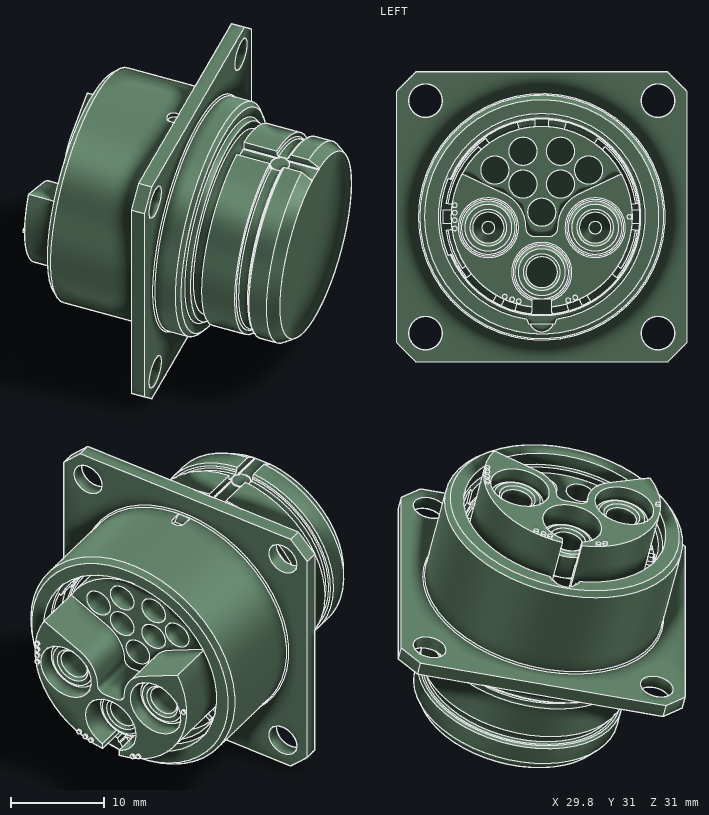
import cadquery as cq
import math


flange_side = 31.0
flange_thickness = 1.5
flange_corner_chamfer = 2.1
mount_hole_diameter = 3.55
mount_hole_pitch = 24.8

shell_radius = 13.0
shell_front_x = -10.85
shell_edge_radius = 12.5
front_chamfer_length = 0.57
root_radius = 13.15
root_length = 0.2
shoulder_x = 4.5
shoulder_chamfer_length = 0.45

collar_front_radius = 11.4
collar_rear_radius = 11.1
collar_end_x = 5.03
neck_radius = 10.26
barrel_radius = 11.18
barrel_front_x = 6.34
barrel_end_x = 15.0
barrel_end_radius = 10.37
end_chamfer_length = 1.22
groove_front_x = 10.12
groove_rear_x = 11.54
groove_radius = 10.5
groove_corner = 0.2
groove_lip_radius = 10.94
groove_lip_length = 0.23

keyway_half_width = 1.04
keyway_floor_z = 10.2
key_half_width = 0.87
key_top_z = 10.3
key_root_z = 5.0
boss_radius = 1.02
boss_x = 10.9
boss_top_z = 10.42

mark_half_width = 0.72
mark_front_x = -2.0
mark_ramp_x = -1.0
mark_rear_x = -0.25
mark_depth = 0.6
mark_end_radius = 0.65

mouth_radius = 11.03
mouth_depth = 1.5
bore_radius = 10.55
gap_floor_x = -7.6
relief_radius = 10.8
relief_half_angle = 22.4
shell_key_radius = 1.3
shell_key_z = -10.97
shell_key_depth = 1.2
shell_key_flat_z = -11.4
shell_key_flat_half_width = 1.4
shell_key_top_half_width = 1.75

hidden_overlap = 0.4

insert_radius = 9.66
insert_front_x = -14.6
insert_rear_x = -4.0
recess_floor_x = -9.3
recess_slope_angle = 25.2
recess_half_width = 1.7
lobe_radius = 4.0
recess_corner_radius = 0.95
signal_hole_radius = 1.5
signal_hole_depth = 8.0
signal_holes = [(2, 7), (-2, 7), (5, 5), (-5, 5), (2, 3.5), (-2, 3.5), (0, 0.5)]

power_y = recess_half_width + lobe_radius
power_z = -1.15
earth_z = -5.9
power_contact_setback = 1.3
earth_contact_setback = 2.2
socket_radius = 3.2
socket_inner_radius = 3.03
socket_step = 1.0
socket_inner_depth = 2.0
contact_radius = 2.85
contact_face_radius = 2.5
contact_chamfer_length = 0.2
contact_entry_radius = 1.95
contact_hole_radius = 1.66
contact_entry_length = 0.3
contact_hole_depth = 6.0
drill_tip_radius = 0.67
drill_tip_length = 0.6
earth_slot_width = 2.1
earth_slot_outer_radius = 10.5

lock_inner_radius = insert_radius - hidden_overlap
ramp_outer_radius = 10.1
ramp_length = 0.8
ramp_start_angle = 8.0
ramp_upper_angle = 48.0
ramp_lower_angle = 33.0
pocket_outer_radius = 10.3
pocket_depth = 0.5
pocket_upper_angle = 54.5
pocket_lower_angle = 39.0
pad_height = 0.5
pad_outer_radius = 10.4
clearance_inner_radius = 10.45
clearance_depth = 0.8
top_pad_half_angle = 14.5
notch_half_width = 0.72
bottom_pad_angles = [(6.0, 16.0), (24.5, 30.0)]

pip_radius = 0.25
pip_height = 0.2
pips = [
    (9.28, 1.24), (9.28, 0.45), (9.28, -0.34), (9.28, -1.24), (-9.35, 0),
    (3.96, -8.5), (3.17, -8.8), (2.45, -9.0), (-2.83, -8.9), (-3.57, -8.6),
]


def section(x):
    """Sketch plane across the axis: local x is Y, local y is Z, normal is +X."""
    return cq.Workplane("YZ", origin=(x, 0, 0))


def disc(x_start, x_end, radius, y=0.0, z=0.0):
    return section(x_start).center(y, z).circle(radius).extrude(x_end - x_start)


def block(x_start, x_end, y_start, y_end, z_start, z_end):
    size = (x_end - x_start, y_end - y_start, z_end - z_start)
    return cq.Workplane("XY").box(*size, centered=False).translate((x_start, y_start, z_start))


def revolve_about_axis(points):
    """Turn an (x, radius) outline about the connector axis."""
    return cq.Workplane("XY").polyline(points).close().revolve(360, (0, 0, 0), (1, 0, 0))


def polar(radius, angle):
    return (radius * math.cos(math.radians(angle)), radius * math.sin(math.radians(angle)))


def ring_sector(x_start, x_end, inner, outer, start_angle, end_angle):
    """Part of a ring; angles are counted from +Y towards +Z."""
    middle_angle = (start_angle + end_angle) / 2
    outline = (
        section(x_start)
        .moveTo(*polar(inner, start_angle))
        .lineTo(*polar(outer, start_angle))
        .threePointArc(polar(outer, middle_angle), polar(outer, end_angle))
        .lineTo(*polar(inner, end_angle))
        .threePointArc(polar(inner, middle_angle), polar(inner, start_angle))
        .close()
    )
    return outline.extrude(x_end - x_start)


def make_turned_body():
    return revolve_about_axis([
        (shell_front_x, 0),
        (shell_front_x, shell_edge_radius),
        (shell_front_x + front_chamfer_length, shell_radius),
        (-root_length, shell_radius),
        (0, root_radius),
        (flange_thickness, root_radius),
        (flange_thickness + root_length, shell_radius),
        (shoulder_x - shoulder_chamfer_length, shell_radius),
        (shoulder_x, shell_edge_radius),
        (shoulder_x, collar_front_radius),
        (collar_end_x, collar_rear_radius),
        (collar_end_x, neck_radius),
        (barrel_front_x, neck_radius),
        (barrel_front_x, barrel_radius),
        (groove_front_x, barrel_radius),
        (groove_front_x, groove_radius + groove_corner),
        (groove_front_x + groove_corner, groove_radius),
        (groove_rear_x - groove_corner, groove_radius),
        (groove_rear_x, groove_radius + groove_corner),
        (groove_rear_x, groove_lip_radius),
        (groove_rear_x + groove_lip_length, barrel_radius),
        (barrel_end_x - end_chamfer_length, barrel_radius),
        (barrel_end_x, barrel_end_radius),
        (barrel_end_x, 0),
    ])


def make_flange():
    plate = section(0).rect(flange_side, flange_side).extrude(flange_thickness)
    plate = plate.edges("|X").chamfer(flange_corner_chamfer)
    return (
        plate.faces("<X").workplane(origin=(0, 0, 0))
        .rect(mount_hole_pitch, mount_hole_pitch, forConstruction=True)
        .vertices().hole(mount_hole_diameter)
    )


def cut_barrel_keyway(body):
    keyway = block(barrel_front_x, barrel_end_x, -keyway_half_width, keyway_half_width,
                   keyway_floor_z, barrel_radius)
    key = block(barrel_front_x, barrel_end_x, -key_half_width, key_half_width, key_root_z, key_top_z)
    boss = (
        cq.Workplane("XY", origin=(boss_x, 0, key_root_z))
        .circle(boss_radius).extrude(boss_top_z - key_root_z)
    )
    return body.cut(keyway).union(key).union(boss)


def cut_index_mark(body):
    floor_z = shell_radius - mark_depth
    profile = (
        cq.Workplane("XZ", origin=(0, mark_half_width, 0))
        .polyline([
            (mark_front_x, floor_z),
            (mark_ramp_x, floor_z),
            (mark_rear_x, shell_radius),
            (mark_front_x, shell_radius),
        ])
        .close().extrude(2 * mark_half_width)
    )
    rounded = profile.edges("|Z and <X").fillet(mark_end_radius)
    return body.cut(rounded)


def cut_shell_mouth(body):
    mouth_floor_x = shell_front_x + mouth_depth
    body = body.cut(disc(shell_front_x, mouth_floor_x, mouth_radius))
    body = body.cut(disc(mouth_floor_x, gap_floor_x, bore_radius))
    body = body.cut(ring_sector(mouth_floor_x, gap_floor_x, lock_inner_radius, relief_radius,
                                -relief_half_angle, relief_half_angle))
    key_end_x = shell_front_x + shell_key_depth
    body = body.cut(disc(shell_front_x, key_end_x, shell_key_radius, 0, shell_key_z))
    key_flare = (
        section(shell_front_x)
        .polyline([
            (-shell_key_top_half_width, -bore_radius),
            (-shell_key_flat_half_width, shell_key_flat_z),
            (shell_key_flat_half_width, shell_key_flat_z),
            (shell_key_top_half_width, -bore_radius),
        ])
        .close().extrude(mouth_depth)
    )
    return body.cut(key_flare)


def make_recess():
    """Space above the two power lobes, as seen along the axis."""
    slope = math.radians(recess_slope_angle)
    tangent_y = power_y - lobe_radius * math.sin(slope)
    tangent_z = power_z + lobe_radius * math.cos(slope)
    edge_z = tangent_z + (bore_radius - tangent_y) * math.tan(slope)
    half_slope = (math.pi / 2 - slope) / 2
    arc_y = power_y - lobe_radius * math.cos(half_slope)
    arc_z = power_z + lobe_radius * math.sin(half_slope)
    floor_z = power_z - recess_corner_radius
    floor_y = recess_half_width - recess_corner_radius
    corner_offset = recess_corner_radius * math.sqrt(0.5)
    corner_y = floor_y + corner_offset
    corner_z = power_z - corner_offset
    outline = (
        section(insert_front_x)
        .moveTo(-bore_radius, bore_radius)
        .lineTo(bore_radius, bore_radius)
        .lineTo(bore_radius, edge_z)
        .lineTo(tangent_y, tangent_z)
        .threePointArc((arc_y, arc_z), (recess_half_width, power_z))
        .threePointArc((corner_y, corner_z), (floor_y, floor_z))
        .lineTo(-floor_y, floor_z)
        .threePointArc((-corner_y, corner_z), (-recess_half_width, power_z))
        .threePointArc((-arc_y, arc_z), (-tangent_y, tangent_z))
        .lineTo(-bore_radius, edge_z)
        .close()
    )
    return outline.extrude(recess_floor_x - insert_front_x)


def make_insert():
    insert = disc(insert_front_x, insert_rear_x, insert_radius)
    return insert.cut(make_recess())


def ramp_windows():
    """Angle ranges of the four conical ramps, two on each side."""
    ranges = []
    for limit in (ramp_upper_angle, -ramp_lower_angle):
        start = math.copysign(ramp_start_angle, limit)
        ranges.append((start, limit))
        ranges.append((180 - start, 180 - limit))
    return ranges


def cut_clearance_ring(body):
    """Narrow groove around the outside of the gap floor, broken at the side relief."""
    groove_floor_x = gap_floor_x + clearance_depth
    groove = ring_sector(gap_floor_x, groove_floor_x, clearance_inner_radius, bore_radius,
                         relief_half_angle, 360 - relief_half_angle)
    return body.cut(groove)


def cut_ramps(body):
    ramp_end_x = gap_floor_x + pocket_depth + ramp_length
    cone = revolve_about_axis([
        (gap_floor_x + pocket_depth, 0),
        (gap_floor_x + pocket_depth, ramp_outer_radius),
        (ramp_end_x, lock_inner_radius),
        (ramp_end_x, 0),
    ])
    for start, end in ramp_windows():
        window = ring_sector(gap_floor_x, ramp_end_x, lock_inner_radius, bore_radius, start, end)
        body = body.cut(cone.intersect(window))
    return body


def add_lock_pads(body):
    """Raised pads on the gap floor: a notched one at the top, two pairs at the bottom."""
    pad_front_x = gap_floor_x - pad_height
    ranges = [(90 - top_pad_half_angle, 90 + top_pad_half_angle)]
    for near, far in bottom_pad_angles:
        ranges.append((270 - far, 270 - near))
        ranges.append((270 + near, 270 + far))
    for start, end in ranges:
        body = body.union(ring_sector(pad_front_x, gap_floor_x + hidden_overlap,
                                      lock_inner_radius, pad_outer_radius, start, end))
    top_notch = block(pad_front_x, gap_floor_x, -notch_half_width, notch_half_width,
                      insert_radius, pad_outer_radius)
    return body.cut(top_notch)


def cut_pockets(body):
    """Cut shallow steps in the gap floor around the ramps, and a key slot on each side."""
    pocket_end_x = gap_floor_x + pocket_depth
    for start, end in [(ramp_start_angle, pocket_upper_angle), (-pocket_lower_angle, -ramp_start_angle)]:
        for angles in [(start, end), (180 - end, 180 - start)]:
            pocket = ring_sector(gap_floor_x, pocket_end_x, lock_inner_radius, pocket_outer_radius, *angles)
            body = body.cut(pocket)
    side_slots = block(gap_floor_x, pocket_end_x, -bore_radius, bore_radius,
                       -notch_half_width, notch_half_width)
    return body.cut(side_slots)


def add_contact(body, y, z, setback, has_drill_tip):
    """Socket in the insert holding a hollow contact set back from its front face."""
    face_x = insert_front_x + setback
    step_x = face_x + socket_step
    hole_end_x = face_x + contact_hole_depth
    socket_end_x = step_x + socket_inner_depth
    pin_end_x = socket_end_x + hidden_overlap
    body = body.cut(disc(insert_front_x, step_x, socket_radius, y, z))
    body = body.cut(disc(step_x, socket_end_x, socket_inner_radius, y, z))

    pin = revolve_about_axis([
        (face_x, 0),
        (face_x, contact_face_radius),
        (face_x + contact_chamfer_length, contact_radius),
        (pin_end_x, contact_radius),
        (pin_end_x, 0),
    ])
    tip_points = [(hole_end_x, 0)]
    if has_drill_tip:
        tip_end_x = hole_end_x + drill_tip_length
        tip_points = [(tip_end_x, drill_tip_radius), (tip_end_x, 0)]
    hole = revolve_about_axis([
        (face_x, 0),
        (face_x, contact_entry_radius),
        (face_x + contact_entry_length, contact_hole_radius),
        (hole_end_x, contact_hole_radius),
    ] + tip_points)
    return body.union(pin.translate((0, y, z))).cut(hole.translate((0, y, z)))


def cut_earth_slot(body):
    """Open the earth socket through the bottom of the insert."""
    half_width = earth_slot_width / 2
    return body.cut(block(insert_front_x, gap_floor_x, -half_width, half_width,
                          -earth_slot_outer_radius, earth_z - contact_radius))


def cut_signal_holes(body):
    holes = section(recess_floor_x).pushPoints(signal_holes).circle(signal_hole_radius)
    return body.cut(holes.extrude(signal_hole_depth))


def add_pips(body):
    clip = disc(insert_front_x - pip_height, insert_front_x, insert_radius)
    posts = section(insert_front_x - pip_height).pushPoints(pips).circle(pip_radius).extrude(pip_height)
    return body.union(posts.intersect(clip))


body = make_turned_body().union(make_flange())
body = cut_barrel_keyway(body)
body = cut_index_mark(body)
body = cut_shell_mouth(body)
body = cut_pockets(body)
body = cut_clearance_ring(body)
body = cut_ramps(body)
body = add_lock_pads(body)
body = body.union(make_insert())
body = cut_signal_holes(body)
body = cut_earth_slot(body)
for side in (1, -1):
    body = add_contact(body, side * power_y, power_z, power_contact_setback, True)
body = add_contact(body, 0, earth_z, earth_contact_setback, False)
result = add_pips(body)